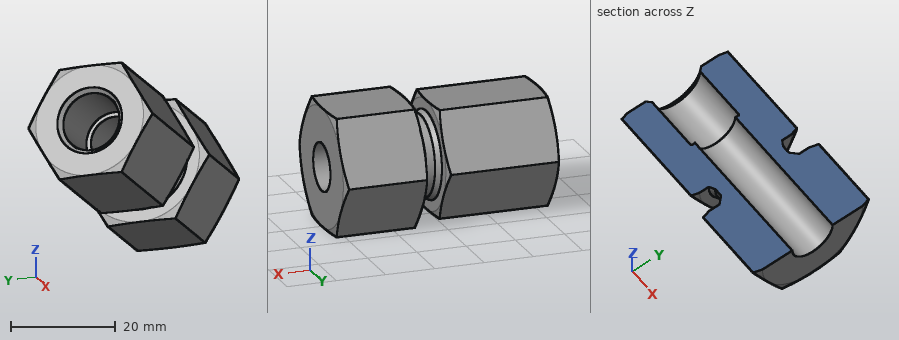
import cadquery as cq
import math

total_length = 44.0
body_flats = 22.0
body_length = 22.85
nut_flats = 24.0
nut_start = 27.15
nut_length = total_length - nut_start
corner_bevel_angle = 15.0

neck_radius = 16.32 / 2
shoulder_radius = 19.1 / 2
shoulder_start = nut_start - (shoulder_radius - neck_radius)
flare_length = 1.15
flare_angle = 30.0
flare_radius = neck_radius + flare_length * math.tan(math.radians(flare_angle))

through_diameter = 9.6
socket_diameter = 11.45
socket_depth = 13.2
mouth_diameter = 13.2
mouth_depth = (mouth_diameter - socket_diameter) / 2


def revolve_about_x(points):
    """Revolve a closed (x, radius) outline about the X axis."""
    return cq.Workplane("XY").polyline(points).close().revolve(360, (0, 0, 0), (1, 0, 0))


def beveled_hexagon(start, length, flats):
    """Hexagon along X with corners on +Y and -Y, its ends beveled by cones."""
    corner_radius = flats / math.sqrt(3)
    face_radius = flats / 2
    bevel = (corner_radius - face_radius) * math.tan(math.radians(corner_bevel_angle))
    end = start + length
    prism = (
        cq.Workplane("YZ")
        .workplane(offset=start)
        .polygon(6, 2 * corner_radius)
        .extrude(length)
    )
    envelope = revolve_about_x([
        (start, 0),
        (start, face_radius),
        (start + bevel, corner_radius),
        (end - bevel, corner_radius),
        (end, face_radius),
        (end, 0),
    ])
    return prism.intersect(envelope)


def neck():
    """Round neck that widens towards both hexagons."""
    return revolve_about_x([
        (body_length, 0),
        (body_length, flare_radius),
        (body_length + flare_length, neck_radius),
        (shoulder_start, neck_radius),
        (nut_start, shoulder_radius),
        (nut_start, 0),
    ])


def bore():
    """Through hole with a wider, countersunk socket at the body end."""
    return revolve_about_x([
        (0, 0),
        (0, mouth_diameter / 2),
        (mouth_depth, socket_diameter / 2),
        (socket_depth, socket_diameter / 2),
        (socket_depth, through_diameter / 2),
        (total_length, through_diameter / 2),
        (total_length, 0),
    ])


body = beveled_hexagon(0, body_length, body_flats)
nut = beveled_hexagon(nut_start, nut_length, nut_flats)
result = body.union(neck()).union(nut).cut(bore())